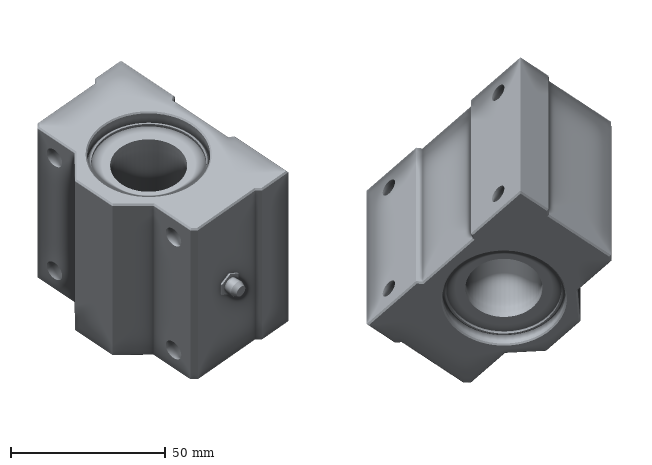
import cadquery as cq
import math

block_width = 76.05
block_length = 67.0
mount_face_y = 26.0
nose_face_y = -25.5
half_width = block_width / 2
half_length = block_length / 2
end_chamfer = 0.55

relief_half_width = 13.5
relief_depth = 1.75
relief_slope_run = 1.1
side_step = 1.6
side_step_y = 13.8
flat_x = half_width - side_step
shoulder_y = -16.1
shoulder_chamfer = 1.75
nose_half_width = 8.5
nose_root_half_width = nose_half_width + shoulder_y - nose_face_y

hole_spacing_x = 54.05
hole_spacing_z = 50.0
clearance_hole_diameter = 7.0
tapped_hole_diameter = 6.1
tapped_hole_depth = 18.0

bearing_diameter = 40.0
bearing_bore_diameter = 25.0
bearing_length = 59.0
bearing_chamfer = 0.6
bore_chamfer = 0.5
seal_diameter = 37.4
seal_recess_depth = 1.0

overall_width = 79.95
nipple_tip_x = overall_width - half_width
flange_sides = 6
flange_across_flats = 7.7
flange_thickness = 0.6
nipple_root_diameter = 5.2
nipple_bead_diameter = 5.6
nipple_tip_diameter = 4.0
nipple_tip_length = 1.8


def half_outline():
    """Right half of the housing cross-section, from the mounting face down to the nose."""
    return [
        (relief_half_width - relief_slope_run, mount_face_y - relief_depth),
        (relief_half_width, mount_face_y),
        (half_width, mount_face_y),
        (half_width, side_step_y),
        (flat_x, side_step_y - side_step),
        (flat_x, shoulder_y + shoulder_chamfer),
        (flat_x - shoulder_chamfer, shoulder_y),
        (nose_root_half_width, shoulder_y),
        (nose_half_width, nose_face_y),
    ]


def cylinder_along_y(diameter, x, z, y_start, y_end):
    """Cylinder parallel to Y between two Y positions."""
    return cq.Workplane(
        cq.Solid.makeCylinder(diameter / 2, y_end - y_start, cq.Vector(x, y_start, z), cq.Vector(0, 1, 0))
    )


def make_housing():
    right = half_outline()
    left = [(-x, y) for x, y in reversed(right)]
    block = (
        cq.Workplane("XY")
        .workplane(offset=-half_length)
        .polyline(right + left)
        .close()
        .extrude(block_length)
        .faces("<Z or >Z")
        .chamfer(end_chamfer)
    )

    bore = cq.Workplane("XY").circle(bearing_diameter / 2).extrude(half_length, both=True)
    block = block.cut(bore)
    block = block.edges("%CIRCLE").chamfer(bore_chamfer)

    step_y = mount_face_y - tapped_hole_depth
    for x in (-hole_spacing_x / 2, hole_spacing_x / 2):
        for z in (-hole_spacing_z / 2, hole_spacing_z / 2):
            block = block.cut(cylinder_along_y(clearance_hole_diameter, x, z, nose_face_y, step_y))
            block = block.cut(cylinder_along_y(tapped_hole_diameter, x, z, step_y, mount_face_y))
    return block


def make_bearing():
    sleeve = (
        cq.Workplane("XY")
        .circle(bearing_diameter / 2)
        .extrude(bearing_length / 2, both=True)
        .faces("<Z or >Z")
        .chamfer(bearing_chamfer)
    )
    for face in ("<Z", ">Z"):
        sleeve = sleeve.faces(face).workplane().circle(seal_diameter / 2).cutBlind(-seal_recess_depth)
    shaft = cq.Workplane("XY").circle(bearing_bore_diameter / 2).extrude(bearing_length, both=True)
    return sleeve.cut(shaft)


def make_nipple():
    """Hexagonal flange on the flat +X side, and a head that swells to a bead, then tapers to its tip."""
    flange_corner_diameter = flange_across_flats / math.cos(math.pi / flange_sides)
    flange = (
        cq.Workplane("YZ")
        .workplane(offset=flat_x)
        .polygon(flange_sides, flange_corner_diameter)
        .extrude(flange_thickness)
        .rotate((0, 0, 0), (1, 0, 0), 90)
    )
    root_radius = nipple_root_diameter / 2
    bead_x = nipple_tip_x - nipple_tip_length
    head = (
        cq.Workplane("XY")
        .moveTo(flat_x, 0)
        .lineTo(flat_x, root_radius)
        .lineTo(bead_x, nipple_bead_diameter / 2)
        .lineTo(nipple_tip_x, nipple_tip_diameter / 2)
        .lineTo(nipple_tip_x, 0)
        .close()
        .revolve(360, (0, 0, 0), (1, 0, 0))
    )
    return flange.union(head)


housing = make_housing()
bearing = make_bearing()
nipple = make_nipple()
result = cq.Compound.makeCompound([housing.val(), bearing.val(), nipple.val()])